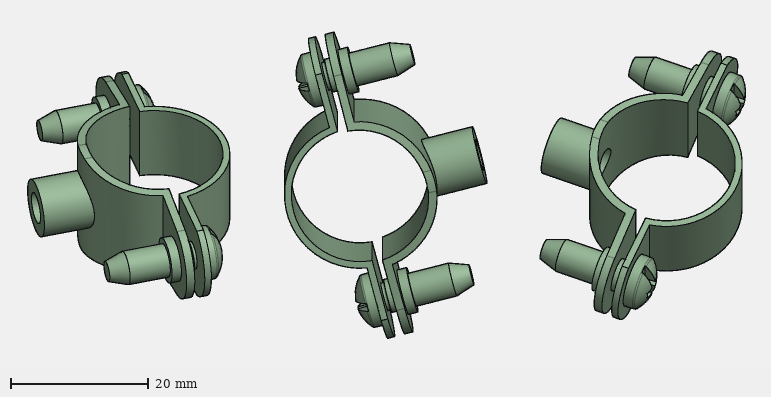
import cadquery as cq
import math

inner_diameter = 19.95
gap = 1.5
overall_length = 46.0
inner_radius = inner_diameter / 2
half_gap = gap / 2
tip_x = overall_length / 2

upper_thickness = 1.0
upper_height = 12.0
upper_end_radius = 6.5

lower_thickness = 1.25
lower_height = 18.0
lower_end_radius = 6.0

boss_radius = 4.3
boss_bore_radius = 2.3
boss_end_y = -18.0

screw_x = tip_x - lower_end_radius
shank_radius = 2.5
neck_radius = 2.05
neck_end_y = 0.25
neck_fillet = 0.15
cone_start_y = -9.5
cone_end_y = -12.35
cone_end_radius = 1.5
head_radius = 4.0
head_rim_radius = 3.95
head_rim_height = 1.6
head_fillet = 0.35
head_height = 3.2
slot_width = 1.2
slot_depth = 1.65
recess_length = 3.55

lip_radius = 3.35
lip_height = 1.43

circle_margin = 0.025

sides = (-1, 1)


def z_cylinder(radius, height):
    """Cylinder about the ring axis, centred in height."""
    return cq.Workplane("XY").circle(radius).extrude(height / 2, both=True)


def y_cylinder(radius, x, start_y, end_y):
    """Cylinder parallel to Y between two Y positions."""
    bottom_y = min(start_y, end_y)
    plane = cq.Plane(origin=(x, bottom_y, 0), xDir=(1, 0, 0), normal=(0, 1, 0))
    return cq.Workplane(plane).circle(radius).extrude(abs(end_y - start_y))


def bent_strip(thickness, height, side):
    """Half ring with two straight ears, on the +Y (side 1) or -Y (side -1) side of the gap."""
    ear_center_y = side * (half_gap + thickness / 2)
    ring = z_cylinder(inner_radius + thickness, height)
    half_space = (
        cq.Workplane("XY")
        .box(overall_length, overall_length, height)
        .translate((0, side * (half_gap + overall_length / 2), 0))
    )
    ears = cq.Workplane("XY").box(overall_length, thickness, height).translate((0, ear_center_y, 0))
    return ring.intersect(half_space).union(ears).cut(z_cylinder(inner_radius, height))


def y_prism(outline):
    """Outline drawn in XZ, extended along Y past both faces of the whole clamp."""
    return outline.extrude(overall_length / 2, both=True)


def upper_outline():
    """Straight strip whose ends are arcs reaching the tips."""
    half_height = upper_height / 2
    arc_center_x = tip_x - upper_end_radius
    corner_x = arc_center_x + math.sqrt(upper_end_radius**2 - half_height**2)
    return (
        cq.Workplane("XZ")
        .moveTo(-corner_x, half_height)
        .lineTo(corner_x, half_height)
        .threePointArc((tip_x, 0), (corner_x, -half_height))
        .lineTo(-corner_x, -half_height)
        .threePointArc((-tip_x, 0), (-corner_x, half_height))
        .close()
    )


def lower_outline():
    """Large middle circle joined by tangent lines to a smaller circle round each screw."""
    middle_radius = lower_height / 2
    tangent_sin = (middle_radius - lower_end_radius) / screw_x
    tangent_cos = math.sqrt(1 - tangent_sin**2)
    middle_x = middle_radius * tangent_sin
    middle_z = middle_radius * tangent_cos
    end_x = screw_x + lower_end_radius * tangent_sin
    end_z = lower_end_radius * tangent_cos
    return (
        cq.Workplane("XZ")
        .moveTo(-middle_x, middle_z)
        .threePointArc((0, middle_radius), (middle_x, middle_z))
        .lineTo(end_x, end_z)
        .threePointArc((tip_x, 0), (end_x, -end_z))
        .lineTo(middle_x, -middle_z)
        .threePointArc((0, -middle_radius), (-middle_x, -middle_z))
        .lineTo(-end_x, -end_z)
        .threePointArc((-tip_x, 0), (-end_x, end_z))
        .close()
    )


def make_upper_half():
    """Upper strip with a screw hole in each ear that fits the screw neck."""
    body = bent_strip(upper_thickness, upper_height, 1).intersect(y_prism(upper_outline()))
    for side in sides:
        body = body.cut(y_cylinder(neck_radius, side * screw_x, 0, half_gap + upper_thickness))
    return body


def make_lower_half():
    """Lower strip with the bored boss and a lip round each screw hole."""
    body = bent_strip(lower_thickness, lower_height, -1).intersect(y_prism(lower_outline()))

    boss = y_cylinder(boss_radius, 0, 0, boss_end_y).cut(z_cylinder(inner_radius, lower_height))
    body = body.union(boss)
    body = body.cut(y_cylinder(boss_bore_radius, 0, 0, boss_end_y))

    ear_face_y = -half_gap - lower_thickness
    lip_end_y = ear_face_y - lip_height
    for side in sides:
        body = body.union(y_cylinder(lip_radius, side * screw_x, ear_face_y, lip_end_y))
        body = body.cut(y_cylinder(shank_radius, side * screw_x, 0, lip_end_y))
    return body


def circle_at(radius, y):
    """Selector for the circular edge about the Y axis with this radius and Y position."""
    reach = radius + circle_margin
    return cq.selectors.BoxSelector(
        (-reach, y - circle_margin, -reach),
        (reach, y + circle_margin, reach),
        boundingbox=True,
    )


def make_screw(x):
    """Raised-head screw pointing towards -Y, with a through slot crossed by a shorter recess."""
    seat_y = half_gap + upper_thickness
    rim_y = seat_y + head_rim_height
    top_y = seat_y + head_height

    dome_height = top_y - rim_y
    dome_radius = (head_rim_radius**2 + dome_height**2) / (2 * dome_height)
    dome_mid_x = head_rim_radius / 2
    dome_mid_y = top_y - dome_radius + math.sqrt(dome_radius**2 - dome_mid_x**2)

    screw = (
        cq.Workplane("XY")
        .moveTo(0, cone_end_y)
        .lineTo(cone_end_radius, cone_end_y)
        .lineTo(shank_radius, cone_start_y)
        .lineTo(shank_radius, neck_end_y)
        .lineTo(neck_radius, neck_end_y)
        .lineTo(neck_radius, seat_y)
        .lineTo(head_radius, seat_y)
        .lineTo(head_rim_radius, rim_y)
        .threePointArc((dome_mid_x, dome_mid_y), (0, top_y))
        .close()
        .revolve(360, (0, 0, 0), (0, 1, 0))
    )

    screw = screw.edges(circle_at(head_rim_radius, rim_y)).fillet(head_fillet)
    screw = screw.edges(circle_at(neck_radius, neck_end_y)).fillet(neck_fillet)

    slot = cq.Workplane("XY").box(slot_width, 2 * slot_depth, 2 * head_radius)
    recess = cq.Workplane("XY").box(recess_length, 2 * slot_depth, slot_width)
    drive = slot.union(recess).translate((0, top_y, 0))
    return screw.cut(drive).translate((x, 0, 0))


upper_half = make_upper_half()
lower_half = make_lower_half()
screws = [make_screw(side * screw_x) for side in sides]

result = cq.Compound.makeCompound(
    [upper_half.val(), lower_half.val(), *[screw.val() for screw in screws]]
)